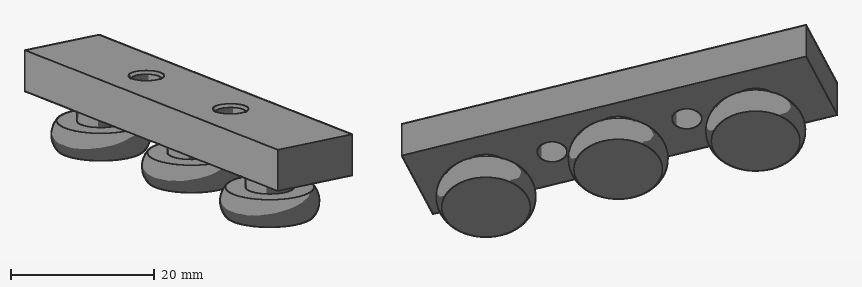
import cadquery as cq

plate_length = 60.0
plate_width = 12.85
plate_height = 6.0

roller_diameter = 13.9
roller_face_diameter = 12.35
roller_height = 4.0
roller_pitch = plate_length / 3
roller_stagger = 0.55
stem_diameter = 6.8
stem_length = 2.9

hole_diameter = 4.15
hole_rim_diameter = 5.0
hole_countersink_angle = 90
hole_offset = roller_pitch / 2

roller_top = -stem_length
roller_middle = roller_top - roller_height / 2
roller_bottom = roller_top - roller_height


def make_plate():
    """Flat bar with two countersunk through holes."""
    return (
        cq.Workplane("XY")
        .box(plate_length, plate_width, plate_height, centered=(True, True, False))
        .faces(">Z")
        .workplane()
        .pushPoints([(-hole_offset, 0), (hole_offset, 0)])
        .cskHole(hole_diameter, hole_rim_diameter, hole_countersink_angle)
    )


def make_roller(x, y):
    """Stem and crowned roller, revolved about a vertical axis through (x, y)."""
    stem_radius = stem_diameter / 2
    face_radius = roller_face_diameter / 2
    return (
        cq.Workplane("XZ")
        .moveTo(0, 0)
        .lineTo(stem_radius, 0)
        .lineTo(stem_radius, roller_top)
        .lineTo(face_radius, roller_top)
        .threePointArc((roller_diameter / 2, roller_middle), (face_radius, roller_bottom))
        .lineTo(0, roller_bottom)
        .close()
        .revolve(360, (0, 0), (0, 1))
        .translate((x, y, 0))
    )


result = make_plate()
for position in (-1, 0, 1):
    side = 1 if position == 0 else -1
    result = result.union(make_roller(position * roller_pitch, side * roller_stagger))